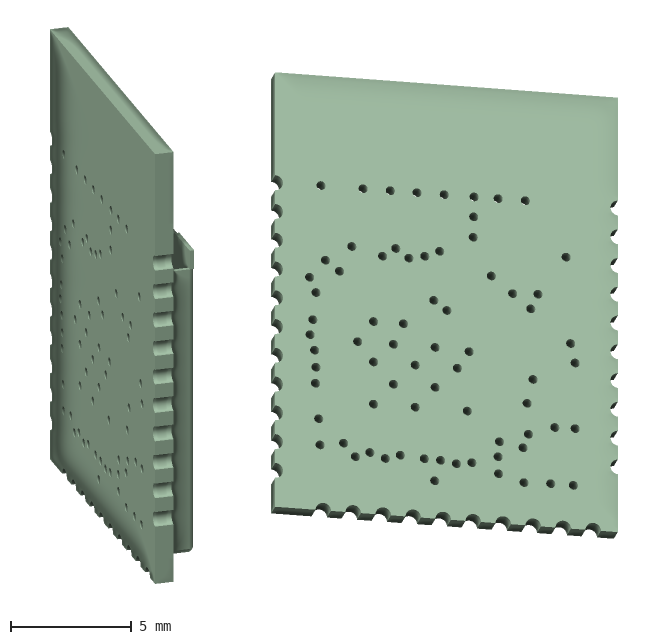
import cadquery as cq

BOARD_WIDTH = 14.52
BOARD_HEIGHT = 19.2
BOARD_THICKNESS = 0.8
BOARD_LEFT = -BOARD_WIDTH / 2
BOARD_RIGHT = BOARD_WIDTH / 2

NOTCH_RADIUS = 0.33
NOTCH_ROW_LENGTH = 12.71
LEFT_NOTCH_COUNT = 11
RIGHT_NOTCH_COUNT = 10
BOTTOM_NOTCH_COUNT = 10
NOTCH_PITCH = NOTCH_ROW_LENGTH / (LEFT_NOTCH_COUNT - 1)
TOP_NOTCH_Z = 14.32
FIRST_BOTTOM_NOTCH_X = -5.22
LEFT_NOTCH_X = BOARD_LEFT
RIGHT_NOTCH_X = BOARD_RIGHT + 0.02
BOTTOM_NOTCH_Z = 0.0

VIA_DIAMETER = 0.38
TOP_ROW_Z = 14.35
TOP_ROW_X = [-5.32, -3.53, -2.38, -1.25, -0.1, 1.17, 2.19, 3.35]
TOP_ROW_VIAS = [(x, TOP_ROW_Z) for x in TOP_ROW_X]
UPPER_LEFT_VIAS = [
    (-4.01, 11.75), (-2.7, 11.42), (-2.15, 11.8), (-1.6, 11.42), (-0.92, 11.55), (-0.29, 11.83),
    (-5.13, 11.05), (-4.53, 10.62), (-5.8, 10.25), (-5.53, 9.6),
]
UPPER_RIGHT_VIAS = [
    (1.15, 13.45), (1.13, 12.55), (5.07, 11.98), (1.9, 10.9), (2.8, 10.2), (3.88, 10.25), (3.57, 9.58),
]
LEFT_EDGE_VIAS = [
    (-5.66, 8.4), (-5.78, 7.72), (-5.59, 7.05), (-5.53, 6.3), (-5.55, 5.59), (-5.41, 4.03),
    (-5.35, 2.88),
]
CENTRE_VIAS = [
    (-0.54, 9.64), (0.02, 9.24),
    (-3.1, 8.5), (-1.82, 8.5),
    (-3.76, 7.56), (-2.25, 7.56), (-0.48, 7.56), (0.96, 7.49),
    (-3.1, 6.72), (-1.32, 6.72), (0.46, 6.72),
    (-2.25, 5.8), (-0.48, 5.8),
    (-3.1, 4.85), (-1.32, 4.85), (0.88, 4.85),
]
RIGHT_EDGE_VIAS = [
    (5.26, 8.18), (5.45, 7.33), (3.67, 6.47), (3.42, 5.4), (5.45, 4.44), (4.59, 4.42), (3.48, 4.03),
    (3.25, 3.42),
]
LOWER_LEFT_VIAS = [
    (-4.35, 3.03), (-3.85, 2.48), (-3.25, 2.7), (-2.6, 2.5), (-1.95, 2.69), (-0.95, 2.61),
    (-0.25, 2.6), (0.42, 2.5), (1.08, 2.6), (-0.5, 1.67),
]
LOWER_RIGHT_VIAS = [
    (2.25, 3.6), (2.19, 2.94), (2.2, 2.19), (3.28, 1.88), (4.42, 1.92), (5.38, 1.92),
]
VIA_GROUPS = [
    TOP_ROW_VIAS, UPPER_LEFT_VIAS, UPPER_RIGHT_VIAS, LEFT_EDGE_VIAS,
    CENTRE_VIAS, RIGHT_EDGE_VIAS, LOWER_LEFT_VIAS, LOWER_RIGHT_VIAS,
]

SHEET_THICKNESS = 0.2
BEND_INNER_RADIUS = 0.02
BEND_OUTER_RADIUS = BEND_INNER_RADIUS + SHEET_THICKNESS
SHIELD_WIDTH = 12.71
SHIELD_HEIGHT = 13.54
SHIELD_DEPTH = 1.2
SHIELD_LEFT = BOARD_LEFT + 0.86
SHIELD_RIGHT = SHIELD_LEFT + SHIELD_WIDTH
SHIELD_BOTTOM = 0.77
SHIELD_TOP = SHIELD_BOTTOM + SHIELD_HEIGHT
SHIELD_BACK = BOARD_THICKNESS + SHIELD_DEPTH

TOP_WALL_LENGTH = 10.65
BOTTOM_WALL_LEFT = SHIELD_LEFT + BEND_OUTER_RADIUS
BOTTOM_WALL_LENGTH = SHIELD_WIDTH - 2 * BEND_OUTER_RADIUS
SIDE_WALL_BOTTOM = SHIELD_BOTTOM + BEND_OUTER_RADIUS
LEFT_LOWER_WALL_TOP = 7.12
LEFT_UPPER_WALL_BOTTOM = 10.62
LEFT_UPPER_WALL_TOP = 11.95
RIGHT_WALL_TOP = 13.48


def drill(body, points, diameter):
    """Cut holes parallel to Y through the board at the given (X, Z) points."""
    holes = (
        cq.Workplane("XZ")
        .pushPoints(points)
        .circle(diameter / 2)
        .extrude(-BOARD_THICKNESS)
    )
    return body.cut(holes)


def make_board():
    board = cq.Workplane("XY").box(
        BOARD_WIDTH, BOARD_THICKNESS, BOARD_HEIGHT, centered=(True, False, False)
    )
    left_notches = [(LEFT_NOTCH_X, TOP_NOTCH_Z - i * NOTCH_PITCH) for i in range(LEFT_NOTCH_COUNT)]
    right_notches = [(RIGHT_NOTCH_X, TOP_NOTCH_Z - i * NOTCH_PITCH) for i in range(RIGHT_NOTCH_COUNT)]
    bottom_notches = [
        (FIRST_BOTTOM_NOTCH_X + i * NOTCH_PITCH, BOTTOM_NOTCH_Z) for i in range(BOTTOM_NOTCH_COUNT)
    ]
    board = drill(board, left_notches + right_notches + bottom_notches, 2 * NOTCH_RADIUS)
    for vias in VIA_GROUPS:
        board = drill(board, vias, VIA_DIAMETER)
    return board


def make_lid():
    """Flat sheet over the whole shield, with a square relief at both lower corners."""
    lid = (
        cq.Workplane("XY")
        .box(SHIELD_WIDTH, SHEET_THICKNESS, SHIELD_HEIGHT, centered=False)
        .translate((SHIELD_LEFT, SHIELD_BACK - SHEET_THICKNESS, SHIELD_BOTTOM))
    )
    relief = cq.Workplane("XY").box(
        BEND_OUTER_RADIUS, SHEET_THICKNESS, BEND_OUTER_RADIUS, centered=False
    )
    for x in (SHIELD_LEFT, SHIELD_RIGHT - BEND_OUTER_RADIUS):
        lid = lid.cut(relief.translate((x, SHIELD_BACK - SHEET_THICKNESS, SHIELD_BOTTOM)))
    return lid


def lid_strip(length):
    """Strip of the flat lid that a bent wall replaces: along +X from the origin, back on Y = 0."""
    return (
        cq.Workplane("XY")
        .box(length, SHEET_THICKNESS, BEND_OUTER_RADIUS, centered=False)
        .translate((0, -SHEET_THICKNESS, 0))
    )


def bent_wall(length):
    """Wall and its bend: along +X from the origin, back on Y = 0, outer face on Z = 0, foot toward -Y."""
    return (
        cq.Workplane("YZ")
        .moveTo(-SHIELD_DEPTH, 0)
        .lineTo(-BEND_OUTER_RADIUS, 0)
        .radiusArc((0, BEND_OUTER_RADIUS), -BEND_OUTER_RADIUS)
        .lineTo(-SHEET_THICKNESS, BEND_OUTER_RADIUS)
        .radiusArc((-BEND_OUTER_RADIUS, SHEET_THICKNESS), BEND_INNER_RADIUS)
        .lineTo(-SHIELD_DEPTH, SHEET_THICKNESS)
        .close()
        .extrude(length)
    )


def bend_down(shield, start, turn, length):
    """Replace a strip of lid edge by a wall; it starts at (X, Z) and is turned about Y."""
    x, z = start

    def place(body):
        return body.rotate((0, 0, 0), (0, 1, 0), turn).translate((x, SHIELD_BACK, z))

    return shield.cut(place(lid_strip(length))).union(place(bent_wall(length)))


def make_shield():
    shield = make_lid()
    bottom_start = (BOTTOM_WALL_LEFT, SHIELD_BOTTOM)
    shield = bend_down(shield, bottom_start, 0, BOTTOM_WALL_LENGTH)
    top_start = (SHIELD_LEFT + TOP_WALL_LENGTH, SHIELD_TOP)
    shield = bend_down(shield, top_start, 180, TOP_WALL_LENGTH)
    left_walls = [
        (SIDE_WALL_BOTTOM, LEFT_LOWER_WALL_TOP),
        (LEFT_UPPER_WALL_BOTTOM, LEFT_UPPER_WALL_TOP),
    ]
    for wall_bottom, wall_top in left_walls:
        shield = bend_down(shield, (SHIELD_LEFT, wall_top), 90, wall_top - wall_bottom)
    right_start = (SHIELD_RIGHT, SIDE_WALL_BOTTOM)
    shield = bend_down(shield, right_start, -90, RIGHT_WALL_TOP - SIDE_WALL_BOTTOM)
    return shield


board = make_board()
shield = make_shield()

result = cq.Compound.makeCompound([board.val(), shield.val()])